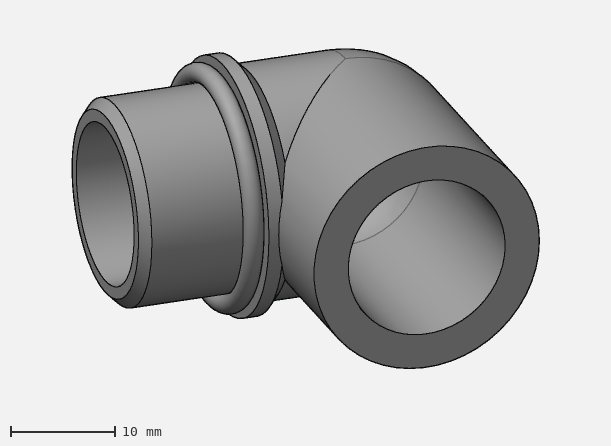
import cadquery as cq

body_diameter = 23.0
socket_leg_length = 22.5

flange_face = 12.5
flange_diameter = 25.5
flange_rim_width = 1.5
flange_flare = (flange_diameter - body_diameter) / 2
spigot_diameter = 20.4
spigot_length = 12.0
spigot_chamfer = 1.0
spigot_end = flange_face + spigot_length

ring_thickness = 2.0
ring_bite = 0.02
ring_center_radius = spigot_diameter / 2 + ring_thickness / 2 - ring_bite
ring_center_y = -(flange_face + ring_thickness / 2 - ring_bite)

bore_diameter = 16.0


def elbow(diameter, x_length, y_length):
    """Round legs along +X and -Y, joined by a ball at the origin."""
    radius = diameter / 2
    x_leg = cq.Workplane("YZ").circle(radius).extrude(x_length)
    y_leg = cq.Workplane("XZ").circle(radius).extrude(y_length)
    return cq.Workplane("XY").sphere(radius).union(x_leg).union(y_leg)


def flange_and_spigot():
    """Flared flange and chamfered spigot, turned about the Y axis."""
    body_r = body_diameter / 2
    flange_r = flange_diameter / 2
    spigot_r = spigot_diameter / 2
    rim_back = flange_face - flange_rim_width
    flare_start = rim_back - flange_flare
    profile = [
        (0, -flare_start),
        (body_r, -flare_start),
        (flange_r, -rim_back),
        (flange_r, -flange_face),
        (spigot_r, -flange_face),
        (spigot_r, -spigot_end + spigot_chamfer),
        (spigot_r - spigot_chamfer, -spigot_end),
        (0, -spigot_end),
    ]
    return cq.Workplane("XY").polyline(profile).close().revolve(360, (0, 0), (0, 1))


def sealing_ring():
    """Round-section ring about the Y axis; drawn on the -X side so its seam lies against the spigot."""
    section = cq.Workplane("XY").center(-ring_center_radius, ring_center_y).circle(ring_thickness / 2)
    return section.revolve(360, (ring_center_radius, 0), (ring_center_radius, 1))


outside = elbow(body_diameter, socket_leg_length, flange_face)
outside = outside.union(flange_and_spigot()).union(sealing_ring())
result = outside.cut(elbow(bore_diameter, socket_leg_length, spigot_end))